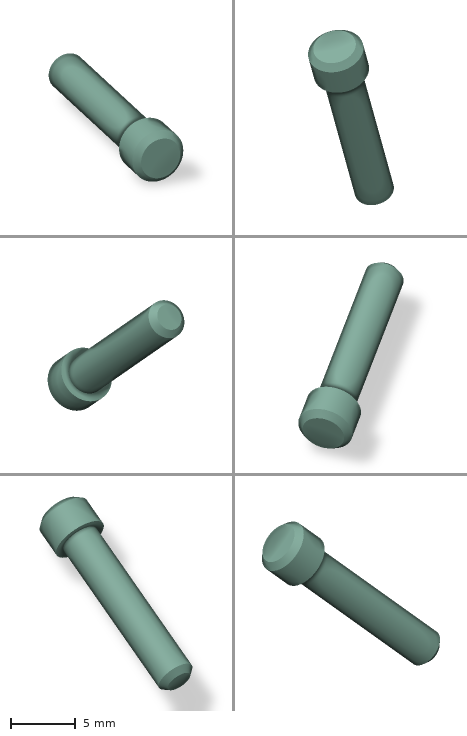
import cadquery as cq

total_length = 17.48
head_diameter = 4.37
head_length = 2.92
shank_diameter = 3.1
chamfer_size = 0.5

shank_length = total_length - head_length


def cylinder_along_x(start, length, diameter):
    """Solid cylinder running toward +X from the given X position."""
    return cq.Workplane("YZ").workplane(offset=start).circle(diameter / 2).extrude(length)


shank = cylinder_along_x(0, shank_length, shank_diameter).faces("<X").chamfer(chamfer_size)
head = cylinder_along_x(shank_length, head_length, head_diameter).faces(">X").chamfer(chamfer_size)

result = shank.union(head)